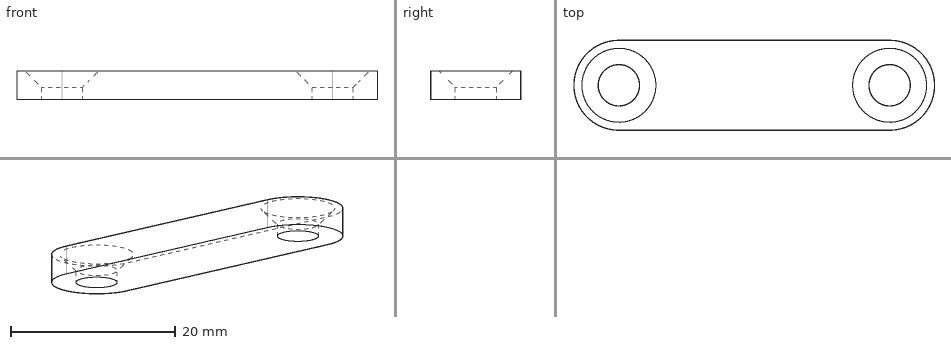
import cadquery as cq

length = 44.0
width = 11.0
thickness = 3.5

hole_diameter = 5.0
countersink_diameter = 9.0
countersink_angle = 90.0
hole_spacing = length - width

plate = cq.Workplane("XY").slot2D(length, width).extrude(thickness)

result = (
    plate.faces(">Z")
    .workplane(origin=(0, 0, thickness))
    .rarray(hole_spacing, 0.45, 2, 1)
    .cskHole(hole_diameter, countersink_diameter, countersink_angle)
)